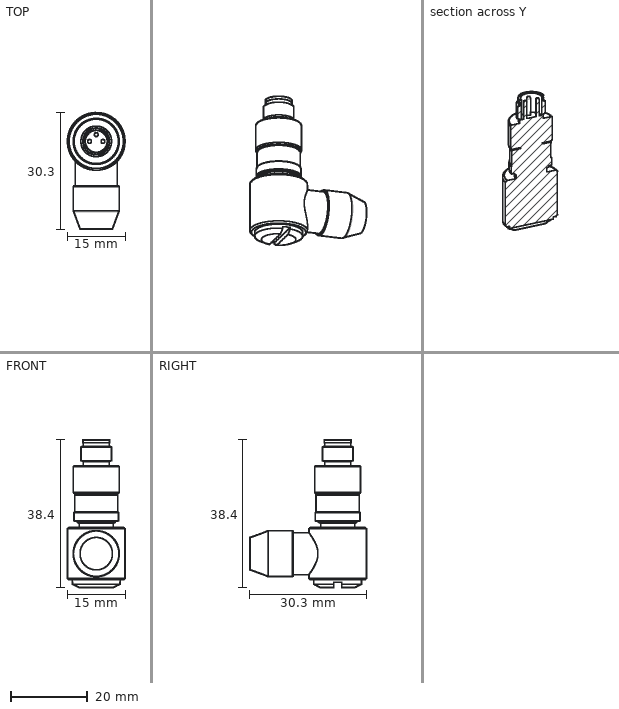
import cadquery as cq

total_height = 38.4
total_length = 30.3

cap_radius = 6.25
cap_tip_radius = 4.5
cap_taper_height = 0.92
slot_width = 2.0
slot_depth = 1.35

housing_diameter = 15.0
housing_radius = housing_diameter / 2
housing_bottom = 2.0
housing_top = 15.7
housing_chamfer = 0.45
neck_radius = 4.45

flange_radius = 5.85
flange_bottom = 17.25
flange_top = 19.7
flange_chamfer = 0.2
flare_bottom = 16.7
flare_top = 17.05
flare_radius = 5.0
clamp_radius = 5.65
clamp_top = 24.23

edge_chamfer = 0.23
spindle_radius = 3.2
nut_radius = 6.0
nut_bottom = 24.4
nut_top = 31.68
nut_bottom_chamfer = 0.35

sleeve_radius = 3.4
collar_radius = 4.0
collar_bottom = 32.75
collar_top = 36.8
collar_taper_height = 0.25
rim_radius = 3.5
rim_height = 0.75
bore_radius = 2.85
bore_rim_chamfer = 0.1
bore_depth = 5.75

pin_radius = 0.5
pin_circle_diameter = 3.5
pin_tip_drop = 0.45
pin_angles = (0, 90, 180)

outlet_height = 8.85
tube_radius = 5.5
gland_radius = 6.0
gland_start = 11.6
gland_end = 18.3
gland_tip = total_length - housing_radius
gland_tip_radius = 4.22


def disc(radius, bottom, top):
    """Upright cylinder centred on the Z axis."""
    return cq.Workplane("XY").workplane(offset=bottom).circle(radius).extrude(top - bottom)


def cone(bottom_radius, top_radius, bottom, top):
    """Upright truncated cone centred on the Z axis."""
    solid = cq.Solid.makeCone(bottom_radius, top_radius, top - bottom, cq.Vector(0, 0, bottom))
    return cq.Workplane(obj=solid)


def make_cap():
    """Tapered cap with a screwdriver slot running along X."""
    cap = disc(cap_radius, cap_taper_height, housing_bottom)
    cap = cap.union(cone(cap_tip_radius, cap_radius, 0, cap_taper_height))
    slot = cq.Workplane("XY").rect(housing_diameter, slot_width).extrude(slot_depth)
    return cap.cut(slot)


def make_stack():
    """Housing, rings, coupling nut and sleeve, from the bottom upwards."""
    housing = disc(housing_radius, housing_bottom, housing_top).edges().chamfer(housing_chamfer)
    neck = disc(neck_radius, housing_top, flange_bottom)
    flare = cone(neck_radius, flare_radius, flare_bottom, flare_top)
    flare_band = disc(flare_radius, flare_top, flange_bottom)
    flange = disc(flange_radius, flange_bottom, flange_top).edges().chamfer(flange_chamfer)
    clamp = disc(clamp_radius, flange_top, clamp_top).faces(">Z").chamfer(edge_chamfer)
    spindle = disc(spindle_radius, clamp_top, nut_bottom)
    nut = disc(nut_radius, nut_bottom, nut_top).faces(">Z").chamfer(edge_chamfer)
    nut = nut.faces("<Z").chamfer(nut_bottom_chamfer)
    sleeve = disc(sleeve_radius, nut_top, total_height)
    collar = disc(collar_radius, collar_bottom, collar_top)
    collar = collar.edges().chamfer(collar_taper_height, collar_radius - sleeve_radius)
    rim = disc(rim_radius, total_height - rim_height, total_height)
    stack = housing
    for piece in (neck, flare, flare_band, flange, clamp, spindle, nut, sleeve, collar, rim):
        stack = stack.union(piece)
    return stack


def make_outlet():
    """Tube and tapered gland nut reaching out along -Y."""
    gland_edge_radius = gland_radius - edge_chamfer / 2
    profile = [
        (0, 0),
        (tube_radius, 0),
        (tube_radius, -gland_start),
        (gland_edge_radius, -gland_start),
        (gland_radius, -gland_start - edge_chamfer),
        (gland_radius, -gland_end + edge_chamfer),
        (gland_edge_radius, -gland_end),
        (gland_tip_radius, -gland_tip),
        (0, -gland_tip),
    ]
    outlet = cq.Workplane("XY").polyline(profile).close().revolve(360, (0, 0), (0, 1))
    return outlet.translate((0, 0, outlet_height))


def make_bore():
    """Round cavity of the sleeve, widened slightly at its mouth."""
    mouth_bottom = total_height - bore_rim_chamfer
    bore = disc(bore_radius, total_height - bore_depth, total_height)
    return bore.union(cone(bore_radius, bore_radius + bore_rim_chamfer, mouth_bottom, total_height))


def make_pins():
    """Round-tipped contact pins standing on the bore floor."""
    bore_floor = total_height - bore_depth
    pin_length = bore_depth - pin_tip_drop
    dome_start = pin_length - pin_radius
    pin = cq.Workplane("XY").circle(pin_radius).extrude(dome_start)
    pin = pin.union(cq.Workplane("XY").sphere(pin_radius).translate((0, 0, dome_start)))
    pin = pin.translate((pin_circle_diameter / 2, 0, bore_floor))
    pins = cq.Workplane("XY")
    for angle in pin_angles:
        pins = pins.add(pin.rotate((0, 0, 0), (0, 0, 1), angle))
    return pins


result = make_stack().union(make_cap()).union(make_outlet())
result = result.cut(make_bore())
for contact_pin in make_pins().vals():
    result = result.union(cq.Workplane(obj=contact_pin))